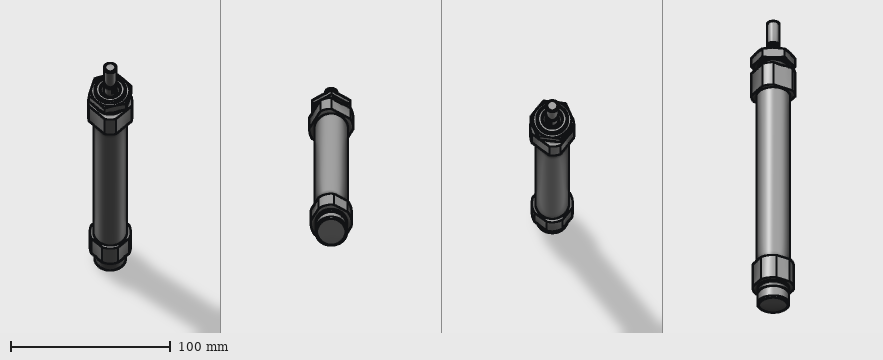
import cadquery as cq
import math

TOTAL_LENGTH = 208.0

BARREL_DIAMETER = 21.2
CAP_WIDTH = 24.0
CAP_HEIGHT = 16.5
HEAD_CORNER_DIAMETER = 27.7
REAR_CORNER_DIAMETER = 25.8
REAR_CAP_BOTTOM = 12.7
HEAD_TOP = 170.9

BOSS_DIAMETER = 20.0
FRONT_BOSS_LENGTH = 13.3
BOSS_CHAMFER = 1.0
COLLAR_HEIGHT = 1.2
GROOVE_DIAMETER = 18.3
GROOVE_WIDTH = 3.1
GROOVE_FILLET = 0.6

RECESS_DIAMETER = 12.0
RECESS_FLOOR_DIAMETER = 8.5
RECESS_WALL_DEPTH = 1.0
RECESS_DEPTH = 3.0
RECESS_CHAMFER = 0.6

NUT_WIDTH = 24.0
NUT_BOTTOM = 175.6
NUT_HEIGHT = 7.0
NUT_CHAMFER_DIAMETER = 24.0
NUT_CHAMFER_HEIGHT = 0.6

ROD_DIAMETER = 8.0
ROD_TIP_DIAMETER = 6.5
ROD_TIP_CHAMFER_HEIGHT = 0.8
ROD_NECK_DIAMETER = 6.5
THREAD_LENGTH = 16.2
NECK_LENGTH = 2.0
NECK_TAPER_HEIGHT = 1.0
SHOULDER_DIAMETER = 7.3
SHOULDER_TAPER_HEIGHT = 1.2
FLAT_WIDTH = 6.9
FLAT_BOTTOM = 185.0
FLAT_TOP = 188.1
ROD_BOTTOM = 154.5


def disc(diameter, bottom, height):
    return cq.Workplane("XY").workplane(offset=bottom).circle(diameter / 2).extrude(height)


def revolve_profile(points):
    """Revolve a closed (radius, height) profile about the Z axis."""
    return cq.Workplane("XZ").polyline(points).close().revolve(360, (0, 0, 0), (0, 1, 0))


def square_cap(corner_diameter, bottom):
    """Square block whose corners are turned to a cylinder about the axis."""
    block = (
        cq.Workplane("XY")
        .workplane(offset=bottom)
        .rect(CAP_WIDTH, CAP_WIDTH)
        .extrude(CAP_HEIGHT)
    )
    return block.intersect(disc(corner_diameter, bottom, CAP_HEIGHT))


def boss(base, tip):
    """Threaded boss from base to tip, with a round-cornered groove next to its collar."""
    outer = BOSS_DIAMETER / 2
    inner = GROOVE_DIAMETER / 2
    direction = math.copysign(1, tip - base)
    groove_start = base + direction * COLLAR_HEIGHT
    groove_end = groove_start + direction * GROOVE_WIDTH
    fillet_step = direction * GROOVE_FILLET
    arc_offset = GROOVE_FILLET * (1 - math.sqrt(0.5))
    arc_step = direction * arc_offset
    return (
        cq.Workplane("XZ")
        .moveTo(0, base)
        .lineTo(outer, base)
        .lineTo(outer, groove_start)
        .lineTo(inner + GROOVE_FILLET, groove_start)
        .threePointArc((inner + arc_offset, groove_start + arc_step), (inner, groove_start + fillet_step))
        .lineTo(inner, groove_end - fillet_step)
        .threePointArc((inner + arc_offset, groove_end - arc_step), (inner + GROOVE_FILLET, groove_end))
        .lineTo(outer, groove_end)
        .lineTo(outer, tip - direction * BOSS_CHAMFER)
        .lineTo(outer - BOSS_CHAMFER, tip)
        .lineTo(0, tip)
        .close()
        .revolve(360, (0, 0, 0), (0, 1, 0))
    )


def make_housing():
    barrel_bottom = REAR_CAP_BOTTOM + CAP_HEIGHT
    head_bottom = HEAD_TOP - CAP_HEIGHT
    boss_top = HEAD_TOP + FRONT_BOSS_LENGTH
    body = disc(BARREL_DIAMETER, barrel_bottom, head_bottom - barrel_bottom)
    body = body.union(square_cap(REAR_CORNER_DIAMETER, REAR_CAP_BOTTOM))
    body = body.union(square_cap(HEAD_CORNER_DIAMETER, head_bottom))
    body = body.union(boss(REAR_CAP_BOTTOM, 0))
    body = body.union(boss(HEAD_TOP, boss_top))
    recess_floor = boss_top - RECESS_DEPTH
    recess = revolve_profile([
        (0, recess_floor),
        (RECESS_FLOOR_DIAMETER / 2, recess_floor),
        (RECESS_DIAMETER / 2, boss_top - RECESS_WALL_DEPTH),
        (RECESS_DIAMETER / 2, boss_top - RECESS_CHAMFER),
        (RECESS_DIAMETER / 2 + RECESS_CHAMFER, boss_top),
        (0, boss_top),
    ])
    rod_bore = disc(ROD_DIAMETER, ROD_BOTTOM, boss_top - ROD_BOTTOM)
    return body.cut(recess).cut(rod_bore)


def make_nut():
    """Hexagon nut with corners on the X axis and both ends chamfered."""
    corner_diameter = NUT_WIDTH / math.cos(math.pi / 6)
    prism = (
        cq.Workplane("XY")
        .workplane(offset=NUT_BOTTOM)
        .polygon(6, corner_diameter)
        .extrude(NUT_HEIGHT)
    )
    nut_top = NUT_BOTTOM + NUT_HEIGHT
    chamfer_envelope = revolve_profile([
        (0, NUT_BOTTOM),
        (NUT_CHAMFER_DIAMETER / 2, NUT_BOTTOM),
        (corner_diameter / 2, NUT_BOTTOM + NUT_CHAMFER_HEIGHT),
        (corner_diameter / 2, nut_top - NUT_CHAMFER_HEIGHT),
        (NUT_CHAMFER_DIAMETER / 2, nut_top),
        (0, nut_top),
    ])
    return prism.intersect(chamfer_envelope).cut(disc(BOSS_DIAMETER, NUT_BOTTOM, NUT_HEIGHT))


def make_rod():
    radius = ROD_DIAMETER / 2
    neck = ROD_NECK_DIAMETER / 2
    thread_bottom = TOTAL_LENGTH - THREAD_LENGTH
    neck_bottom = thread_bottom - NECK_LENGTH
    rod = revolve_profile([
        (0, ROD_BOTTOM),
        (radius, ROD_BOTTOM),
        (radius, neck_bottom - SHOULDER_TAPER_HEIGHT),
        (SHOULDER_DIAMETER / 2, neck_bottom),
        (neck, neck_bottom),
        (neck, thread_bottom - NECK_TAPER_HEIGHT),
        (radius, thread_bottom),
        (radius, TOTAL_LENGTH - ROD_TIP_CHAMFER_HEIGHT),
        (ROD_TIP_DIAMETER / 2, TOTAL_LENGTH),
        (0, TOTAL_LENGTH),
    ])
    for side in (-1, 1):
        flat_cutter = (
            cq.Workplane("XY")
            .workplane(offset=FLAT_BOTTOM)
            .center(side * (FLAT_WIDTH + ROD_DIAMETER) / 2, 0)
            .rect(ROD_DIAMETER, ROD_DIAMETER)
            .extrude(FLAT_TOP - FLAT_BOTTOM)
        )
        rod = rod.cut(flat_cutter)
    return rod


housing = make_housing()
nut = make_nut()
rod = make_rod()

result = cq.Compound.makeCompound([housing.val(), nut.val(), rod.val()])